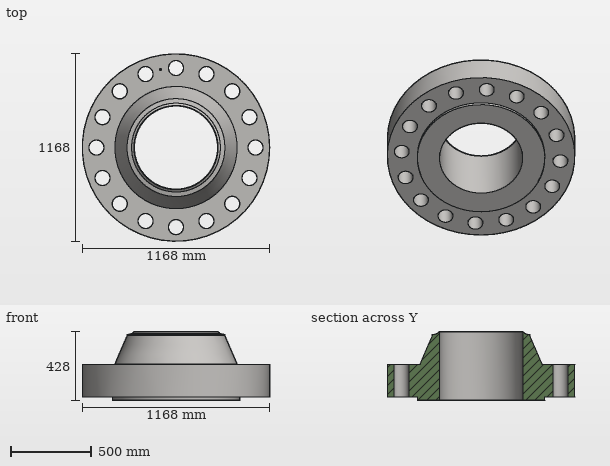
import cadquery as cq
import math

flange_diameter = 1168.0
flange_thickness = 203.0

face_diameter = 794.0
face_height = 21.0

overall_height = 428.0
bore_diameter = 517.0
hub_base_diameter = 762.0
hub_rim_diameter = 610.0
base_band_height = 4.0
rim_band_height = 7.0
bevel_height = 18.0
bevel_knee_diameter = 554.0
bevel_knee_depth = 12.0
weld_land_diameter = 525.0

bolt_count = 16
bolt_circle_diameter = 990.0
bolt_hole_diameter = 92.0

small_hole_diameter = 7.0
small_hole_depth = 21.0
countersink_diameter = 13.0

flange_top = face_height + flange_thickness
bevel_bottom = overall_height - bevel_height
bolt_spacing = 360 / bolt_count
countersink_depth = (countersink_diameter - small_hole_diameter) / 2
small_hole_angle = 90 + bolt_spacing / 2


def on_bolt_circle(angle):
    """Return the X, Y place on the bolt circle at an angle in degrees."""
    radius = bolt_circle_diameter / 2
    turn = math.radians(angle)
    return (radius * math.cos(turn), radius * math.sin(turn))


def revolve_about_z(section):
    """Turn a closed section of (radius, height) points a full turn about Z."""
    return cq.Workplane("XZ").polyline(section).close().revolve(360, (0, 0, 0), (0, 1, 0))


def make_body():
    """Revolve half of the flange and hub section about Z."""
    section = [
        (bore_diameter, 0),
        (face_diameter, 0),
        (face_diameter, face_height),
        (flange_diameter, face_height),
        (flange_diameter, flange_top),
        (hub_base_diameter, flange_top),
        (hub_base_diameter, flange_top + base_band_height),
        (hub_rim_diameter, bevel_bottom - rim_band_height),
        (hub_rim_diameter, bevel_bottom),
        (bevel_knee_diameter, overall_height - bevel_knee_depth),
        (weld_land_diameter, overall_height),
        (bore_diameter, overall_height),
    ]
    outline = [(diameter / 2, height) for diameter, height in section]
    return revolve_about_z(outline)


def make_bolt_holes():
    """Cylinders that pass through the whole plate."""
    places = [on_bolt_circle(index * bolt_spacing) for index in range(bolt_count)]
    return cq.Workplane("XY").pushPoints(places).circle(bolt_hole_diameter / 2).extrude(flange_top)


def make_small_hole():
    """Countersunk blind hole in the top of the plate, on the bolt circle."""
    section = [
        (0, 0),
        (countersink_diameter / 2, 0),
        (small_hole_diameter / 2, -countersink_depth),
        (small_hole_diameter / 2, -small_hole_depth),
        (0, -small_hole_depth),
    ]
    x, y = on_bolt_circle(small_hole_angle)
    return revolve_about_z(section).translate((x, y, flange_top))


result = make_body().cut(make_bolt_holes()).cut(make_small_hole())